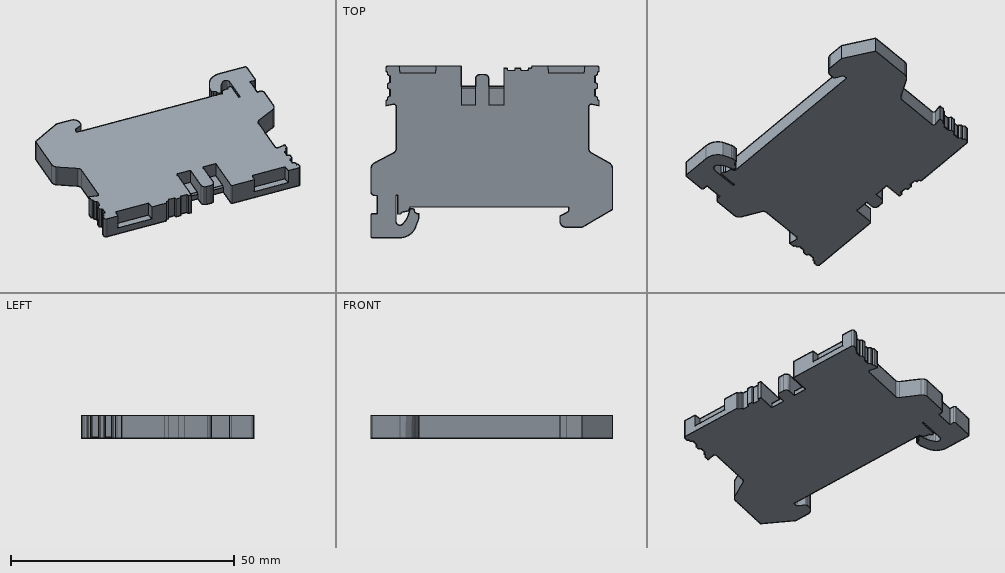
import cadquery as cq
import math

LENGTH = 54.1
HEIGHT = 38.5
THICKNESS = 5.1

HEAD_CENTRE_X = 27.22
HEAD_WIDTH = 47.75
NECK_WIDTH = 43.15
HEAD_LEFT = HEAD_CENTRE_X - HEAD_WIDTH / 2
HEAD_BOTTOM_Y = 29.55
HEAD_CORNER_RADIUS = 0.5
HEAD_LIP_RADIUS = 0.3
NECK_LEFT = HEAD_CENTRE_X - NECK_WIDTH / 2
NECK_RIGHT = HEAD_CENTRE_X + NECK_WIDTH / 2
NECK_TOP_Y = 30.0
NECK_TOP_RADIUS = 0.5

STEP_INSET = 0.37
VALLEY_INSET = 0.85
VALLEY_WIDTH = 1.4
TOOTH_PITCH = 3.0
LOWER_VALLEY_Y = 31.8
LOWER_VALLEY = (LOWER_VALLEY_Y + VALLEY_WIDTH, LOWER_VALLEY_Y)
UPPER_VALLEY = (LOWER_VALLEY[0] + TOOTH_PITCH, LOWER_VALLEY[1] + TOOTH_PITCH)
TOOTH_RAMP = 0.35
UPPER_STEP_Y = 37.1
LOWER_STEP_Y = 30.9
VALLEY_UNDERCUT = 0.2
VALLEY_LIP_HEIGHT = 0.3

NOTCH_LEFT = 20.25
NOTCH_RIGHT = 29.76
NOTCH_FLOOR_Y = HEIGHT - 8.79
NOTCH_CORNER_RADIUS = 0.3
TONGUE_WIDTH = 3.0
TONGUE_CENTRE_X = 24.92
TONGUE_TOP_Y = HEIGHT - 1.93
TONGUE_RADIUS = 1.0
WEB_TOP_Y = HEIGHT - 4.56
WEB_CHAMFER = 0.36

LEDGE_Y = HEIGHT - 0.51
GROOVE_FLOOR_Y = HEIGHT - 1.03
GROOVE_FLOOR_WIDTH = 1.5
GROOVE_FLANK = 0.15
GROOVE_CENTRES = (31.4, 34.4)
LEDGE_END_X = 35.85
LEDGE_RAMP = 0.25

POCKET_CENTRES = (10.48, 43.75)
POCKET_TOP_WIDTH = 8.3
POCKET_FLOOR_WIDTH = 7.95
POCKET_DEPTH = 1.58
LEDGE_THICKNESS = 1.7

SHOULDER_TOP_Y = 19.35
SHOULDER_BOTTOM_Y = 16.37
SHOULDER_INNER_RADIUS = 1.0
SHOULDER_OUTER_RADIUS = 1.5

RAIL_SEAT_Y = 6.9
SEAT_RIGHT_X = 44.25
FOOT_NOSE_X = 42.27
FOOT_BOTTOM_Y = 2.33
FOOT_BOTTOM_RIGHT_X = 47.26
FOOT_RIGHT_Y = 6.34
FOOT_THROAT_Y = 5.92
FOOT_NOSE_TOP_Y = 4.88
FOOT_THROAT_RADIUS = 0.4
FOOT_NOSE_TOP_RADIUS = 0.4
FOOT_NOSE_RADIUS = 1.5

RECESS_DEPTH = 1.4
RECESS_TOP_Y = 9.47
RECESS_BOTTOM_Y = 5.43
RECESS_TOP_RADIUS = 0.85
LATCH_CORNER_RADIUS = 0.4
SLIT_LEFT = 5.64
SLIT_WIDTH = 0.34
SLIT_TOP_Y = 9.5
JAW_SEAT_X = 8.8
JAW_TIP = (8.42, 6.03)
JAW_STEP_TOP = (6.95, 5.73)
JAW_STEP_BOTTOM = (6.68, 5.32)
HOOK_RIGHT_X = 10.75
HOOK_BEND_X = 8.8
HOOK_BEND_RADIUS = 3.85
HOOK_BEND_END = (9.9, 2.1)
HOOK_FLANK_Y = 4.3
HOOK_FLANK_RADIUS = 2.0
HOOK_TIP_LEFT_X = 8.8
HOOK_TIP_RIGHT_X = 9.7
HOOK_TOP_Y = 6.53
HOOK_TIP_RADIUS = 0.37
HOOK_TIP_FOOT = (9.8, 5.8)
HOOK_STEP_LEFT_X = 10.35
HOOK_STEP_Y = 5.43
THROAT_BOTTOM_Y = 1.35
THROAT_RADIUS = 0.85
THROAT_CURVE_CORNER = (8.08, 4.26)
THROAT_CURVE_RADIUS = 4.0


def mirrored(x):
    return 2 * HEAD_CENTRE_X - x


def head_side():
    """Left toothed edge of the head, from the neck up to the top corner, as (x, y, radius)."""
    step_x = HEAD_LEFT + STEP_INSET
    valley_x = HEAD_LEFT + VALLEY_INSET
    points = [
        (NECK_LEFT, NECK_TOP_Y, NECK_TOP_RADIUS),
        (HEAD_LEFT, HEAD_BOTTOM_Y, 0),
        (HEAD_LEFT, LOWER_STEP_Y, HEAD_LIP_RADIUS),
        (step_x, LOWER_STEP_Y, 0),
    ]
    for valley_top, valley_bottom in (LOWER_VALLEY, UPPER_VALLEY):
        points += [
            (step_x, valley_bottom - TOOTH_RAMP, 0),
            (valley_x, valley_bottom, 0),
            (valley_x, valley_top, 0),
            (step_x, valley_top + TOOTH_RAMP, 0),
        ]
    points += [
        (step_x, UPPER_STEP_Y, 0),
        (HEAD_LEFT, UPPER_STEP_Y, HEAD_LIP_RADIUS),
        (HEAD_LEFT, HEIGHT, HEAD_CORNER_RADIUS),
    ]
    return points


def notch_and_tongue():
    tongue_left = TONGUE_CENTRE_X - TONGUE_WIDTH / 2
    tongue_right = TONGUE_CENTRE_X + TONGUE_WIDTH / 2
    return [
        (NOTCH_LEFT, HEIGHT, NOTCH_CORNER_RADIUS),
        (NOTCH_LEFT, NOTCH_FLOOR_Y, 0),
        (tongue_left, NOTCH_FLOOR_Y, 0),
        (tongue_left, TONGUE_TOP_Y, TONGUE_RADIUS),
        (tongue_right, TONGUE_TOP_Y, TONGUE_RADIUS),
        (tongue_right, NOTCH_FLOOR_Y, 0),
        (NOTCH_RIGHT, NOTCH_FLOOR_Y, 0),
        (NOTCH_RIGHT, LEDGE_Y, 0),
    ]


def grooved_ledge():
    half_floor = GROOVE_FLOOR_WIDTH / 2
    half_mouth = half_floor + GROOVE_FLANK
    points = []
    for centre in GROOVE_CENTRES:
        points += [
            (centre - half_mouth, LEDGE_Y, 0),
            (centre - half_floor, GROOVE_FLOOR_Y, 0),
            (centre + half_floor, GROOVE_FLOOR_Y, 0),
            (centre + half_mouth, LEDGE_Y, 0),
        ]
    points += [(LEDGE_END_X, LEDGE_Y, 0), (LEDGE_END_X + LEDGE_RAMP, HEIGHT, 0)]
    return points


def right_shoulder_and_foot():
    return [
        (NECK_RIGHT, SHOULDER_TOP_Y, SHOULDER_INNER_RADIUS),
        (LENGTH, SHOULDER_BOTTOM_Y, SHOULDER_OUTER_RADIUS),
        (LENGTH, FOOT_RIGHT_Y, 0),
        (FOOT_BOTTOM_RIGHT_X, FOOT_BOTTOM_Y, 0),
        (FOOT_NOSE_X, FOOT_BOTTOM_Y, FOOT_NOSE_RADIUS),
        (FOOT_NOSE_X, FOOT_NOSE_TOP_Y, FOOT_NOSE_TOP_RADIUS),
        (SEAT_RIGHT_X, FOOT_THROAT_Y, FOOT_THROAT_RADIUS),
        (SEAT_RIGHT_X, RAIL_SEAT_Y, 0),
    ]


def jaw_and_slit():
    """Stepped jaw at the left end of the rail seat, then up and over the slit."""
    slit_right = SLIT_LEFT + SLIT_WIDTH
    return [
        (JAW_SEAT_X, RAIL_SEAT_Y, 0),
        (*JAW_TIP, 0),
        (*JAW_STEP_TOP, 0),
        (*JAW_STEP_BOTTOM, 0),
        (slit_right, JAW_STEP_BOTTOM[1], 0),
        (slit_right, SLIT_TOP_Y, 0),
        (SLIT_LEFT, SLIT_TOP_Y, 0),
    ]


def hook():
    """Curved throat, rounded tip and outer bend of the latch hook."""
    return [
        (SLIT_LEFT, THROAT_BOTTOM_Y, THROAT_RADIUS),
        (*THROAT_CURVE_CORNER, THROAT_CURVE_RADIUS),
        (HOOK_TIP_LEFT_X, HOOK_TOP_Y, HOOK_TIP_RADIUS),
        (HOOK_TIP_RIGHT_X, HOOK_TOP_Y, HOOK_TIP_RADIUS),
        (*HOOK_TIP_FOOT, 0),
        (HOOK_STEP_LEFT_X, HOOK_STEP_Y, 0),
        (HOOK_RIGHT_X, HOOK_STEP_Y, 0),
        (HOOK_RIGHT_X, HOOK_FLANK_Y, HOOK_FLANK_RADIUS),
        (*HOOK_BEND_END, 0),
        (HOOK_BEND_X, 0, HOOK_BEND_RADIUS),
    ]


def latch_side():
    return [
        (0, 0, LATCH_CORNER_RADIUS),
        (0, RECESS_BOTTOM_Y, LATCH_CORNER_RADIUS),
        (RECESS_DEPTH, RECESS_BOTTOM_Y, 0),
        (RECESS_DEPTH, RECESS_TOP_Y, 0),
        (0, RECESS_TOP_Y, RECESS_TOP_RADIUS),
        (0, SHOULDER_BOTTOM_Y, SHOULDER_OUTER_RADIUS),
        (NECK_LEFT, SHOULDER_TOP_Y, SHOULDER_INNER_RADIUS),
    ]


def rounded_outline(corners):
    """Closed outline through (x, y, radius) corners; a zero radius leaves the corner sharp."""
    path = None
    for index, (x, y, radius) in enumerate(corners):
        corner = cq.Vector(x, y)
        before = cq.Vector(*corners[index - 1][:2])
        after = cq.Vector(*corners[(index + 1) % len(corners)][:2])
        to_before = (before - corner).normalized()
        to_after = (after - corner).normalized()
        half_angle = to_before.getAngle(to_after) / 2
        setback = radius / math.tan(half_angle)
        start = corner + to_before * setback
        if path is None:
            path = cq.Workplane("XY").moveTo(start.x, start.y)
        else:
            path = path.lineTo(start.x, start.y)
        if radius > 0:
            bisector = (to_before + to_after).normalized()
            middle = corner + bisector * (radius / math.sin(half_angle) - radius)
            end = corner + to_after * setback
            path = path.threePointArc((middle.x, middle.y), (end.x, end.y))
    return path.close()


def housing():
    left_side = head_side()
    right_side = [(mirrored(x), y, radius) for x, y, radius in reversed(left_side)]
    corners = left_side + notch_and_tongue() + grooved_ledge() + right_side
    corners += right_shoulder_and_foot() + jaw_and_slit() + hook() + latch_side()
    return rounded_outline(corners).extrude(THICKNESS)


def notch_web():
    """Thin wall that closes the lower part of the notch, chamfered along its upper edge."""
    width = NOTCH_RIGHT - NOTCH_LEFT
    web = cq.Workplane("XY").box(width, WEB_TOP_Y - NOTCH_FLOOR_Y, LEDGE_THICKNESS, centered=False)
    web = web.faces(">Y").edges(">Z").chamfer(WEB_CHAMFER)
    return web.translate((NOTCH_LEFT, NOTCH_FLOOR_Y, 0))


def label_pocket(centre_x):
    half_top = POCKET_TOP_WIDTH / 2
    half_floor = POCKET_FLOOR_WIDTH / 2
    floor_y = HEIGHT - POCKET_DEPTH
    return (
        cq.Workplane("XY", origin=(centre_x, 0, LEDGE_THICKNESS))
        .polyline([(-half_top, HEIGHT), (-half_floor, floor_y), (half_floor, floor_y), (half_top, HEIGHT)])
        .close()
        .extrude(THICKNESS - LEDGE_THICKNESS)
    )


def valley_undercut(valley, centre_x):
    """Cutter that deepens one side valley above its lip."""
    top, bottom = valley
    return (
        cq.Workplane("XY", origin=(centre_x, (top + bottom) / 2, VALLEY_LIP_HEIGHT))
        .rect(2 * VALLEY_UNDERCUT, top - bottom)
        .extrude(THICKNESS - VALLEY_LIP_HEIGHT)
    )


result = housing().union(notch_web())

for pocket_x in POCKET_CENTRES:
    result = result.cut(label_pocket(pocket_x))

left_valley_x = HEAD_LEFT + VALLEY_INSET
for side_x in (left_valley_x, mirrored(left_valley_x)):
    for side_valley in (UPPER_VALLEY, LOWER_VALLEY):
        result = result.cut(valley_undercut(side_valley, side_x))